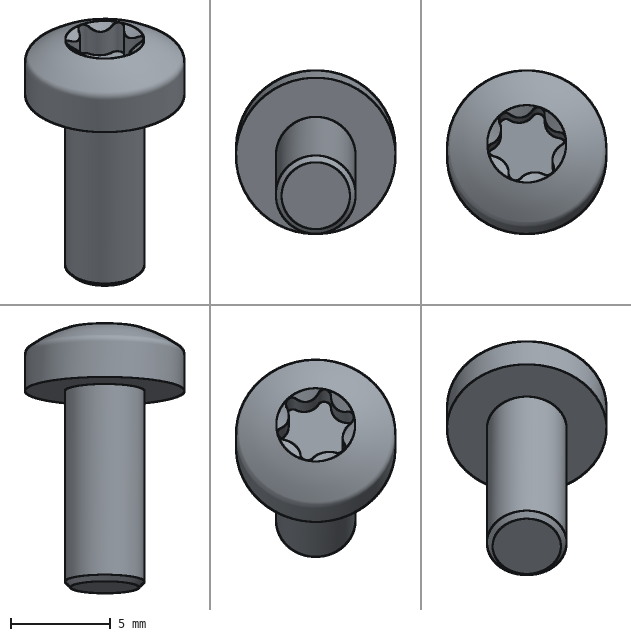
import cadquery as cq
import math

total_length = 13.1
head_height = 3.1
head_radius = 8.0 / 2
dome_radius = 6.5
head_edge_fillet = 0.4
shank_radius = head_radius / 2
tip_chamfer = 0.29

rim_radius = 1.98
lobe_count = 6
lobe_outer_radius = 1.96
lobe_inner_radius = 1.43
lobe_tip_fillet = 0.34
recess_depth = 1.65
countersink_angle = 30.0

shank_length = total_length - head_height


def polar(radius, angle):
    return (radius * math.cos(angle), radius * math.sin(angle))


def make_head_blank():
    """Pan head: cylinder, rolled edge and spherical dome cut flat at the recess rim."""
    dome_center_z = total_length - math.sqrt(dome_radius**2 - rim_radius**2)
    fillet_center_r = head_radius - head_edge_fillet
    center_distance = dome_radius - head_edge_fillet
    fillet_center_z = dome_center_z + math.sqrt(center_distance**2 - fillet_center_r**2)
    dome_edge_angle = math.acos(fillet_center_r / center_distance)

    def on_dome(angle):
        r, z = polar(dome_radius, angle)
        return (r, dome_center_z + z)

    def on_edge_arc(angle):
        r, z = polar(head_edge_fillet, angle)
        return (fillet_center_r + r, fillet_center_z + z)

    rim_angle = math.acos(rim_radius / dome_radius)
    return (
        cq.Workplane("XZ")
        .moveTo(0, shank_length)
        .lineTo(head_radius, shank_length)
        .lineTo(head_radius, fillet_center_z)
        .threePointArc(on_edge_arc(dome_edge_angle / 2), on_edge_arc(dome_edge_angle))
        .threePointArc(on_dome((dome_edge_angle + rim_angle) / 2), (rim_radius, total_length))
        .lineTo(0, total_length)
        .close()
        .revolve(360, (0, 0, 0), (0, 1, 0))
    )


def make_lobe_cutter():
    """Six-lobe prism of alternating tangent arcs, with one lobe pointing along +Y."""
    half_pitch = math.pi / lobe_count
    tip_center_r = lobe_outer_radius - lobe_tip_fillet
    cos_pitch = math.cos(half_pitch)
    valley_radius = (
        tip_center_r**2 + lobe_inner_radius**2
        - 2 * tip_center_r * lobe_inner_radius * cos_pitch - lobe_tip_fillet**2
    ) / (2 * (lobe_tip_fillet + tip_center_r * cos_pitch - lobe_inner_radius))
    valley_center_r = lobe_inner_radius + valley_radius

    tip_share = lobe_tip_fillet / (lobe_tip_fillet + valley_radius)
    valley_x, valley_y = polar(valley_center_r, half_pitch)
    tangent_x = tip_center_r + tip_share * (valley_x - tip_center_r)
    tangent_y = tip_share * valley_y
    tangent_r = math.hypot(tangent_x, tangent_y)
    tangent_angle = math.atan2(tangent_y, tangent_x)

    first_tip = math.pi / 2
    outline = cq.Workplane("XY", origin=(0, 0, total_length - recess_depth)).moveTo(
        *polar(tangent_r, first_tip - tangent_angle)
    )
    for i in range(lobe_count):
        tip = first_tip + 2 * half_pitch * i
        valley = tip + half_pitch
        next_tip = valley + half_pitch
        outline = outline.threePointArc(
            polar(lobe_outer_radius, tip), polar(tangent_r, tip + tangent_angle)
        ).threePointArc(
            polar(lobe_inner_radius, valley), polar(tangent_r, next_tip - tangent_angle)
        )
    return outline.close().extrude(recess_depth)


def make_countersink_cutter():
    """Cone from the recess rim down to its point on the axis."""
    cone_depth = rim_radius * math.tan(math.radians(countersink_angle))
    return (
        cq.Workplane("XZ")
        .moveTo(0, total_length - cone_depth)
        .lineTo(rim_radius, total_length)
        .lineTo(0, total_length)
        .close()
        .revolve(360, (0, 0, 0), (0, 1, 0))
    )


def make_head():
    return make_head_blank().cut(make_lobe_cutter()).cut(make_countersink_cutter())


def make_shank():
    """Plain shank with a chamfered tip, seated against the underside of the head."""
    return cq.Workplane("XY").circle(shank_radius).extrude(shank_length).faces("<Z").chamfer(tip_chamfer)


head = make_head()
shank = make_shank()
result = cq.Compound.makeCompound([head.val(), shank.val()])